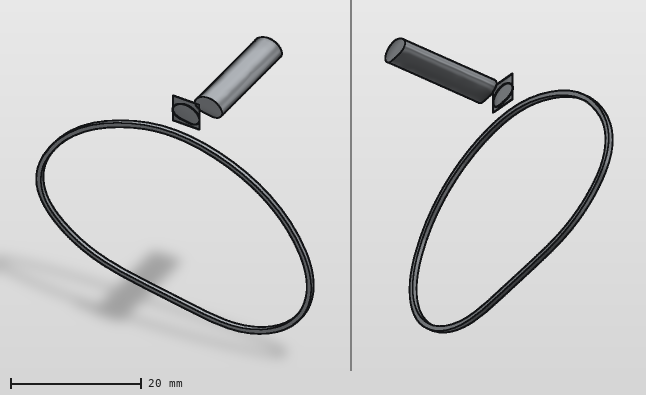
import cadquery as cq

EGG_POINTS = [
    (23.16, 2.45), (15.70, 11.50), (6.95, 15.70), (-1.76, 16.80), (-10.62, 14.70),
    (-19.60, 8.90), (-24.45, -2.58), (-16.30, -11.70), (-6.46, -14.58), (1.68, -15.95),
    (11.99, -16.66), (22.70, -10.05), (24.55, -3.50),
]
INSET_SAMPLES = 24

rim_wall = 0.8
rim_depth = 0.8
rim_center = (0, 0)

small_scale = 0.1

rod_length = 18.0
rod_center = (5.95, 23.80)

plate_side = 4.74
plate_thickness = 0.12
plate_center = (1.96, 21.14)
lap_depth = plate_thickness / 2

bezel_depth = rim_depth * small_scale
bezel_center = (1.95, 20.96)


def egg_outline(inset):
    """Points of the full-size egg outline, moved inwards by inset along the normals."""
    if inset == 0:
        return EGG_POINTS
    edge = cq.Edge.makeSpline([cq.Vector(x, z) for x, z in EGG_POINTS], periodic=True)
    points = []
    for step in range(INSET_SAMPLES):
        place = edge.positionAt(step / INSET_SAMPLES)
        along = edge.tangentAt(step / INSET_SAMPLES)
        points.append((place.x - inset * along.y, place.y + inset * along.x))
    return points


def egg_prism(scale, inset, center, y_start, y_end):
    """Scaled egg extruded along Y; inset is how far the full-size outline is shrunk."""
    points = [(x * scale, z * scale) for x, z in egg_outline(inset)]
    prism = cq.Workplane("XZ").spline(points, periodic=True).close().extrude(y_start - y_end)
    return prism.translate((center[0], y_start, center[1]))


def make_rim():
    """Egg-shaped rim of even wall, centred on Y = 0."""
    back = rim_depth / 2
    outer = egg_prism(1, 0, rim_center, -back, back)
    opening = egg_prism(1, rim_wall, rim_center, -back, back)
    return outer.cut(opening)


def make_plate_layer(thickness):
    """Square of the plate's size from Y = 0 to the given thickness."""
    layer = cq.Workplane("XZ").rect(plate_side, plate_side).extrude(-thickness)
    return layer.translate((plate_center[0], 0, plate_center[1]))


def make_rod():
    """Egg-section rod with a shallow recess in its end face for the plate's corner."""
    rod = egg_prism(small_scale, 0, rod_center, 0, rod_length)
    return rod.cut(make_plate_layer(lap_depth))


def make_plate(rod):
    """Square plate with a shallow seat for bezel and lens, thinned where it laps the rod."""
    seat = egg_prism(small_scale, 0, bezel_center, 0, bezel_depth)
    return make_plate_layer(plate_thickness).cut(seat).cut(rod)


def make_lens():
    """Egg-shaped disc that fills the bezel."""
    return egg_prism(small_scale, rim_wall, bezel_center, 0, bezel_depth)


def make_bezel(lens):
    """Thin egg-shaped ring around the lens."""
    return egg_prism(small_scale, 0, bezel_center, 0, bezel_depth).cut(lens)


rim = make_rim()
rod = make_rod()
plate = make_plate(rod)
lens = make_lens()
bezel = make_bezel(lens)

result = cq.Compound.makeCompound([rim.val(), rod.val(), plate.val(), bezel.val(), lens.val()])